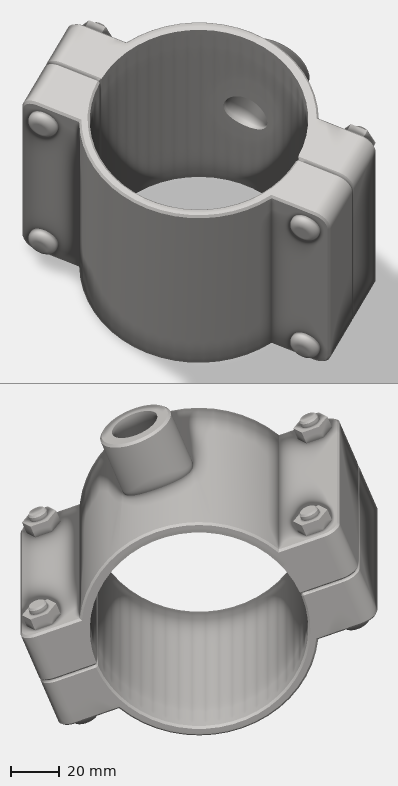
import cadquery as cq
import math

width = 141.0
height = 105.0
bore_radius = 45.0
ring_radius = 49.4
ear_depth = 22.3
ear_corner_radius = 7.0
edge_chamfer = 0.92

stub_diameter = 31.3
stub_bore_diameter = 20.0
stub_chamfer = 1.0
stub_root = 45.8
stub_end = 73.0

bolt_inset = 10.6
bolt_x = width / 2 - bolt_inset
bolt_z = height / 2 - bolt_inset
bolt_diameter = 8.0
bolt_protrusion = 8.0
tip_chamfer_length = 0.8
tip_chamfer_depth = 0.5
head_diameter = 13.0
head_height = 4.2
head_fillet = 3.1
nut_across_corners = 15.1
nut_height = 5.4

tolerance = 0.01


def y_plane(y):
    """Sketch plane at the given Y whose normal points along +Y."""
    return cq.Workplane(cq.Plane(origin=(0, y, 0), xDir=(1, 0, 0), normal=(0, 1, 0)))


def upright_cylinder(radius):
    """Cylinder along Z over the full height of the clamp."""
    return cq.Workplane("XY", origin=(0, 0, -height / 2)).circle(radius).extrude(height)


def is_outer_rim(edge):
    """True for the ring's outer arcs and the outlines of the ear face and split face."""
    box = edge.BoundingBox()
    x = abs(edge.Center().x)
    ear_joint_x = math.sqrt(ring_radius**2 - ear_depth**2)
    on_ring = edge.geomType() == "CIRCLE" and abs(edge.radius() - ring_radius) < tolerance
    on_split = box.ymax < tolerance
    on_ear_face = box.ymin > ear_depth - tolerance and box.ylen < tolerance
    return on_ring or on_split or (on_ear_face and x > ear_joint_x + tolerance)


def is_bore_rim(edge):
    """True for the end arcs of the bore."""
    return edge.geomType() == "CIRCLE" and abs(edge.radius() - bore_radius) < tolerance


def half_shell(chamfer_bore):
    """Half of the clamp on the +Y side of the split, with chamfered rims."""
    ears = y_plane(0).rect(width, height).extrude(ear_depth).edges("|Y").fillet(ear_corner_radius)
    half_space = y_plane(0).rect(width, height).extrude(ring_radius)
    half_ring = upright_cylinder(ring_radius).intersect(half_space)
    shell = ears.union(half_ring).cut(upright_cylinder(bore_radius))
    rims = [
        edge
        for edge in shell.edges().vals()
        if is_outer_rim(edge) or (chamfer_bore and is_bore_rim(edge))
    ]
    return shell.newObject(rims).chamfer(edge_chamfer)


def stub():
    """Branch pipe with a chamfered free end, still without its bore."""
    pipe = y_plane(stub_root).circle(stub_diameter / 2).extrude(stub_end - stub_root)
    return pipe.faces(">Y").edges().chamfer(stub_chamfer)


def bolt():
    """Domed head in front of the ears, shank through them and hex nut behind."""
    head = y_plane(-ear_depth).circle(head_diameter / 2).extrude(-head_height)
    head = head.faces("<Y").edges().fillet(head_fillet)
    shank = y_plane(-ear_depth).circle(bolt_diameter / 2).extrude(2 * ear_depth + bolt_protrusion)
    shank = shank.faces(">Y").edges().chamfer(tip_chamfer_length, tip_chamfer_depth)
    nut = y_plane(ear_depth).polygon(6, nut_across_corners).extrude(nut_height)
    return head.union(shank).union(nut)


back_half = half_shell(chamfer_bore=False)
front_half = half_shell(chamfer_bore=True).mirror("XZ")
result = back_half.union(front_half).union(stub())

result = result.cut(y_plane(0).circle(stub_bore_diameter / 2).extrude(stub_end))

for x in (-bolt_x, bolt_x):
    for z in (-bolt_z, bolt_z):
        result = result.union(bolt().translate((x, 0, z)))